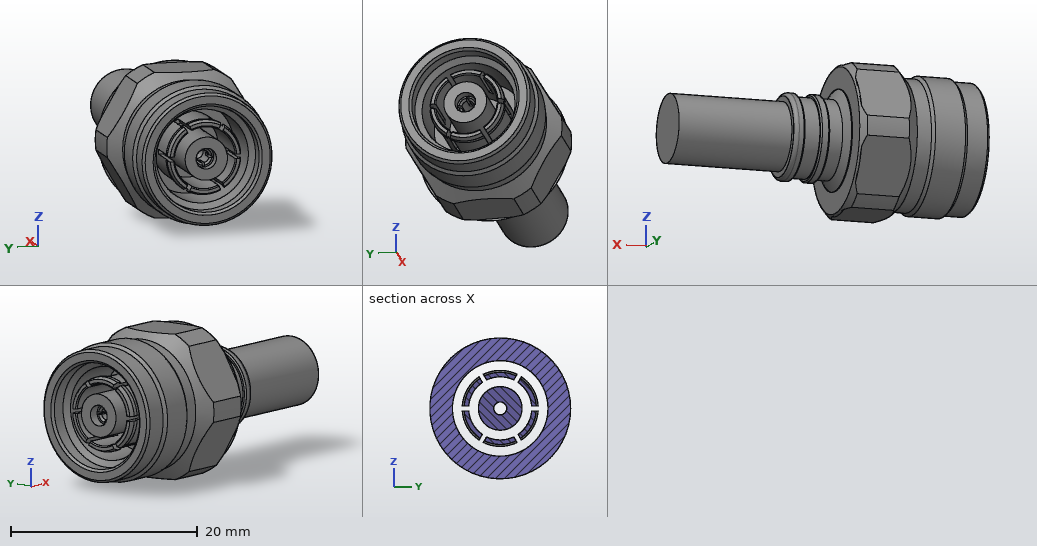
import cadquery as cq
import math

OVERALL_LENGTH = 34.0

NUT_LENGTH = 15.0
NUT_RADIUS = 7.2
NUT_FRONT_CHAMFER = 0.27
BAND_RADIUS = 7.55
BAND_START = 2.55
BAND_END = 6.63
BAND_CHAMFER = 0.35
HEX_CONE_START = 8.23
HEX_CORNER_DIAMETER = 17.17
HEX_CORNER_RADIUS = HEX_CORNER_DIAMETER / 2
HEX_SIDES = 6
HEX_FLATS_DISTANCE = 15.85
HEX_FLATS_END = 14.75
HEX_REAR_CHAMFER = 0.65

MOUTH_RADIUS = 5.78
MOUTH_CHAMFER = 0.27
MOUTH_CONE_START = 1.77
MOUTH_CONE_END = 2.2
BORE_RADIUS = 5.1
SHOULDER_X = 8.15

COLLAR_RADIUS = 5.55
COLLAR_END = 15.1
NECK_START = 15.7
NECK_RADIUS = 4.4
RIB_RADIUS = 4.75
FRONT_RIB_START = 17.25
FRONT_RIB_END = 18.3
REAR_RIB_START = 20.03
REAR_RIB_END = 21.25
RIB_CHAMFER = 0.17
RIB_ROUND = 0.5
TUBE_RADIUS = 3.77

COLLET_TIP = 1.02
COLLET_LIP_RADIUS = 4.08
COLLET_LIP_END = 2.05
COLLET_OUTER_RADIUS = 3.88
COLLET_INNER_RADIUS = 3.35
COLLET_LIP_TAPER = 0.5
COLLET_INNER_CHAMFER = 0.15
COLLET_SLOT_COUNT = 6
COLLET_SLOT_WIDTH = 0.5
COLLET_SLOT_DEPTH = 4.75
INSULATOR_TIP = 0.58
INSULATOR_RADIUS = 2.35
INSULATOR_HOLE_RADIUS = 1.12
CONTACT_TIP = 1.75
CONTACT_BORE_RADIUS = 0.68
CONTACT_COUNTERSINK_RADIUS = 0.92
CONTACT_BORE_DEPTH = 2.72
CONTACT_SLOT_COUNT = 4
CONTACT_SLOT_WIDTH = 0.27
CONTACT_SLOT_DEPTH = 1.7


def turned(points):
    """Turn a straight-sided (x, radius) outline about the X axis."""
    return cq.Workplane("XY").polyline(points).close().revolve(360, (0, 0, 0), (1, 0, 0))


def rod(radius, start, end):
    """Plain cylinder along X."""
    return cq.Workplane("YZ").workplane(offset=start).circle(radius).extrude(end - start)


def radial_slots(count, width, start, depth, inner_radius, outer_radius):
    """Blocks that reach from the inner to the outer radius, evenly spaced about X."""
    reach = outer_radius - inner_radius
    block = cq.Workplane("XY").box(depth, reach, width, centered=(False, False, True))
    block = block.translate((start, inner_radius, 0))
    slots = cq.Workplane("XY")
    for index in range(count):
        slots = slots.add(block.rotate((0, 0, 0), (1, 0, 0), index * 360 / count))
    return slots.combine()


def nut_outside():
    hex_cone_end = HEX_CONE_START + HEX_CORNER_RADIUS - NUT_RADIUS
    return turned([
        (0, 0),
        (0, NUT_RADIUS - NUT_FRONT_CHAMFER),
        (NUT_FRONT_CHAMFER, NUT_RADIUS),
        (BAND_START, NUT_RADIUS),
        (BAND_START + BAND_CHAMFER, BAND_RADIUS),
        (BAND_END - BAND_CHAMFER, BAND_RADIUS),
        (BAND_END, NUT_RADIUS),
        (HEX_CONE_START, NUT_RADIUS),
        (hex_cone_end, HEX_CORNER_RADIUS),
        (NUT_LENGTH - HEX_REAR_CHAMFER, HEX_CORNER_RADIUS),
        (NUT_LENGTH, HEX_CORNER_RADIUS - HEX_REAR_CHAMFER),
        (NUT_LENGTH, 0),
    ])


def hex_flats():
    """Everything outside the hexagon, up to the thin round lip at the rear of the nut."""
    length = HEX_FLATS_END - HEX_CONE_START
    across_corners = HEX_FLATS_DISTANCE / math.cos(math.pi / HEX_SIDES)
    front = cq.Workplane("YZ").workplane(offset=HEX_CONE_START)
    return front.circle(across_corners).polygon(HEX_SIDES, across_corners).extrude(length)


def nut_bore():
    return turned([
        (0, 0),
        (0, MOUTH_RADIUS + MOUTH_CHAMFER),
        (MOUTH_CHAMFER, MOUTH_RADIUS),
        (MOUTH_CONE_START, MOUTH_RADIUS),
        (MOUTH_CONE_END, BORE_RADIUS),
        (SHOULDER_X, BORE_RADIUS),
        (SHOULDER_X, COLLAR_RADIUS),
        (NUT_LENGTH, COLLAR_RADIUS),
        (NUT_LENGTH, 0),
    ])


def make_coupling_nut():
    return nut_outside().cut(hex_flats()).cut(nut_bore())


def body_core():
    """Collar behind the nut's shoulder, tapering to the neck, and cable tube."""
    return turned([
        (SHOULDER_X, 0),
        (SHOULDER_X, COLLAR_RADIUS),
        (COLLAR_END, COLLAR_RADIUS),
        (NECK_START, NECK_RADIUS),
        (REAR_RIB_END, NECK_RADIUS),
        (REAR_RIB_END, TUBE_RADIUS),
        (OVERALL_LENGTH, TUBE_RADIUS),
        (OVERALL_LENGTH, 0),
    ])


def neck_rib(start, end):
    """Rib around the neck, chamfered on its front edge."""
    return rod(RIB_RADIUS, start, end).faces("<X").edges().chamfer(RIB_CHAMFER)


def neck_ribs():
    front_rib = neck_rib(FRONT_RIB_START, FRONT_RIB_END).faces(">X").edges().chamfer(RIB_CHAMFER)
    rear_rib = neck_rib(REAR_RIB_START, REAR_RIB_END).faces(">X").edges().fillet(RIB_ROUND)
    return front_rib.add(rear_rib).combine()


def collet():
    """Sleeve split into spring fingers, with a tapered lip around their tips."""
    sleeve = turned([
        (COLLET_TIP, COLLET_INNER_RADIUS + COLLET_INNER_CHAMFER),
        (COLLET_TIP, COLLET_OUTER_RADIUS),
        (COLLET_TIP + COLLET_LIP_TAPER, COLLET_LIP_RADIUS),
        (COLLET_LIP_END, COLLET_LIP_RADIUS),
        (COLLET_LIP_END, COLLET_OUTER_RADIUS),
        (SHOULDER_X, COLLET_OUTER_RADIUS),
        (SHOULDER_X, COLLET_INNER_RADIUS),
        (COLLET_TIP + COLLET_INNER_CHAMFER, COLLET_INNER_RADIUS),
    ])
    slots = radial_slots(
        COLLET_SLOT_COUNT, COLLET_SLOT_WIDTH, COLLET_TIP, COLLET_SLOT_DEPTH,
        INSULATOR_RADIUS, BORE_RADIUS,
    )
    return sleeve.cut(slots)


def insulator():
    return rod(INSULATOR_RADIUS, INSULATOR_TIP, SHOULDER_X)


def contact_socket():
    """Hole in the insulator, with the countersunk, slotted contact recessed in it."""
    countersink = CONTACT_COUNTERSINK_RADIUS - CONTACT_BORE_RADIUS
    bore_end = CONTACT_TIP + CONTACT_BORE_DEPTH
    hole = turned([
        (INSULATOR_TIP, 0),
        (INSULATOR_TIP, INSULATOR_HOLE_RADIUS),
        (CONTACT_TIP, INSULATOR_HOLE_RADIUS),
        (CONTACT_TIP, CONTACT_COUNTERSINK_RADIUS),
        (CONTACT_TIP + countersink, CONTACT_BORE_RADIUS),
        (bore_end, CONTACT_BORE_RADIUS),
        (bore_end + CONTACT_BORE_RADIUS, 0),
    ])
    slots = radial_slots(
        CONTACT_SLOT_COUNT, CONTACT_SLOT_WIDTH, CONTACT_TIP, CONTACT_SLOT_DEPTH,
        0, INSULATOR_HOLE_RADIUS,
    )
    return hole.union(slots)


def make_connector_body():
    body = body_core().union(neck_ribs()).union(collet()).union(insulator())
    return body.cut(contact_socket())


coupling_nut = make_coupling_nut()
connector_body = make_connector_body()
result = cq.Compound.makeCompound([coupling_nut.solids().val(), connector_body.solids().val()])